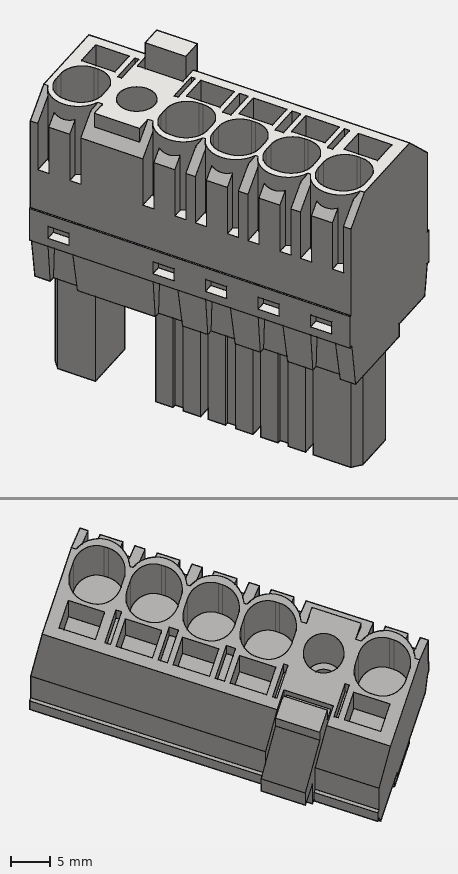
import cadquery as cq


width = 46.6
pitch = 7.65
position_count = 6
screw_index = 1
first_x = (width - (position_count - 1) * pitch) / 2
position_x = [first_x + i * pitch for i in range(position_count)]
screw_x = position_x[screw_index]
wire_x = [x for i, x in enumerate(position_x) if i != screw_index]

top_z = 44.8
band_top_z = 27.45
band_bottom_z = 22.35
step_z = 17.65
plug_top_z = 15.65
band_back_y = 20.7
body_front_y = 0.25
body_back_y = 20.25
step_y = 12.9
front_chamfer = 3.55
back_chamfer = 4.67
skirt_inset = 0.5
skirt_front_y = 1.45
skirt_back_y = 19.55

boss_radius = 3.9
boss_y = 5.25
funnel_length = 7.55
funnel_corner_radius = 3.1
funnel_y = 6.1
funnel_width = 6.75
funnel_floor_z = band_top_z
relief_width = 6.25
relief_floor_z = 33.85
rib_width = 3.05

pocket_width = 4.85
pocket_front_y = 10.4
pocket_back_y = 14.15
pocket_depth = 9.55
separator_front_y = 9.7
separator_depth = 4.75
screw_separator_offset = 4.1
screw_separator_width = 0.55
wide_separator_width = 1.25
wide_separator_x = [position_x[i] + pitch / 2 for i in (screw_index + 1, screw_index + 2)]
end_separator_width = 0.75
end_separator_x = 38.3

screw_y = 6.75
screw_head_radius = 2.58
screw_shank_radius = 1.75
screw_head_floor_z = band_top_z
nose_width = 6.6
nose_front_y = 1.57
nose_back_y = screw_y

window_width = 3.05
window_bottom_z = 23.65
window_top_z = 25.55
window_depth = 1.45
recess_top_width = 3.6
recess_bottom_width = 3.95
recess_back_y = 2.3

plug_front_y = 3.8
plug_back_y = 11.55
plug_width = 6.55
plug_chamfer_x = 1.05
plug_chamfer_y = 1.25
plug_back_chamfer_y = 0.52
groove_width = 1.5
groove_depth = 0.55
tongue_width = 4.1
tongue_back_y = 11.92
tongue_tip_z = 8.3
tongue_thickness = 1.65
tongue_bevel_height = 2.9

latch_slot_width = 6.65
latch_width = 5.9
latch_top_z = 47.7
latch_bottom_z = 18.3
latch_grip_front_y = 14.25
latch_grip_back_y = 17.3
latch_back_y = 23.2
latch_hook_z = 30.0
latch_shelf_z = 42.2


def box(x_range, y_range, z_range):
    """Axis-aligned block between the given (low, high) limits."""
    size = [high - low for low, high in (x_range, y_range, z_range)]
    corner = (x_range[0], y_range[0], z_range[0])
    return cq.Workplane("XY").box(*size, centered=False).translate(corner)


def around(centre, size):
    """(low, high) limits of a length centred on a coordinate."""
    return (centre - size / 2, centre + size / 2)


def extrude_profile(points, x_range):
    """Closed (Y, Z) outline extruded along X between the given limits."""
    length = x_range[1] - x_range[0]
    return cq.Workplane("YZ", origin=(x_range[0], 0, 0)).polyline(points).close().extrude(length)


def cylinder(x, y, radius, z_range):
    """Vertical cylinder."""
    return cq.Workplane("XY", origin=(x, y, z_range[0])).circle(radius).extrude(z_range[1] - z_range[0])


def housing_block():
    """Stepped, chamfered block with the seam band and the tapered skirt."""
    outline = [
        (skirt_front_y, plug_top_z),
        (skirt_inset, band_bottom_z),
        (0, band_bottom_z),
        (0, band_top_z),
        (body_front_y, band_top_z),
        (body_front_y, top_z - front_chamfer),
        (body_front_y + front_chamfer, top_z),
        (body_back_y - back_chamfer, top_z),
        (body_back_y, top_z - back_chamfer),
        (body_back_y, band_top_z),
        (band_back_y, band_top_z),
        (band_back_y, band_bottom_z),
        (band_back_y - skirt_inset, band_bottom_z),
        (skirt_back_y, step_z),
        (step_y, step_z),
        (step_y, plug_top_z),
    ]
    return extrude_profile(outline, (0, width))


def relief_slots(x):
    """Two slots beside a front rib, reaching back to the funnel boss."""
    z_range = (relief_floor_z, top_z)
    relief = box(around(x, relief_width), (0, boss_y), z_range)
    rib = box(around(x, rib_width), (0, boss_y), z_range)
    return relief.cut(rib).cut(cylinder(x, boss_y, boss_radius, z_range))


def funnel_hole(x):
    """Wire entry with short flat sides and widely rounded corners."""
    y_range = around(funnel_y, funnel_length)
    hole = box(around(x, funnel_width), y_range, (funnel_floor_z, top_z))
    return hole.edges("|Z").fillet(funnel_corner_radius)


def test_pocket(x):
    """Rectangular pocket behind a wire entry."""
    return box(around(x, pocket_width), (pocket_front_y, pocket_back_y), (top_z - pocket_depth, top_z))


def separator_slot(x, slot_width):
    """Narrow slot between two neighbouring positions."""
    z_range = (top_z - separator_depth, top_z)
    return box(around(x, slot_width), (separator_front_y, pocket_back_y), z_range)


def front_window(x):
    """Small blind window in the seam band."""
    return box(around(x, window_width), (0, window_depth), (window_bottom_z, window_top_z))


def skirt_recess(x):
    """Flat-backed recess in the skirt, widening downwards."""
    return (
        cq.Workplane("XZ")
        .polyline([
            (x - recess_top_width / 2, band_bottom_z),
            (x + recess_top_width / 2, band_bottom_z),
            (x + recess_bottom_width / 2, plug_top_z),
            (x - recess_bottom_width / 2, plug_top_z),
        ])
        .close()
        .extrude(-recess_back_y)
    )


def grooved_plug(x):
    """Inner plug with a vertical groove down its front face."""
    z_range = (0, plug_top_z)
    plug = box(around(x, plug_width), (plug_front_y, plug_back_y), z_range)
    groove = box(around(x, groove_width), (plug_front_y, plug_front_y + groove_depth), z_range)
    return plug.cut(groove)


def end_plug(x, outer_side):
    """End plug with chamfered outer edges; outer_side is -1 (left) or +1 (right)."""
    outer_x = x + outer_side * plug_width / 2
    inner_x = x - outer_side * plug_width / 2
    outline = [
        (inner_x, plug_front_y),
        (outer_x - outer_side * plug_chamfer_x, plug_front_y),
        (outer_x, plug_front_y + plug_chamfer_y),
        (outer_x, plug_back_y - plug_back_chamfer_y),
        (outer_x - outer_side * plug_chamfer_x, plug_back_y),
        (inner_x, plug_back_y),
    ]
    return cq.Workplane("XY").polyline(outline).close().extrude(plug_top_z)


def guide_tongue():
    """Tongue below the screw position, bevelled at its front tip."""
    front_y = tongue_back_y - tongue_thickness
    outline = [
        (front_y, plug_top_z),
        (front_y, tongue_tip_z + tongue_bevel_height),
        (tongue_back_y, tongue_tip_z),
        (tongue_back_y, plug_top_z),
    ]
    return extrude_profile(outline, around(screw_x, tongue_width))


def build_housing():
    body = housing_block()

    for x in wire_x:
        body = body.cut(relief_slots(x))
        body = body.union(cylinder(x, boss_y, boss_radius, (relief_floor_z, top_z)))
    for x in wire_x:
        body = body.cut(funnel_hole(x)).cut(test_pocket(x))
        body = body.cut(front_window(x)).cut(skirt_recess(x))

    for side in (-1, 1):
        body = body.cut(separator_slot(screw_x + side * screw_separator_offset, screw_separator_width))
    for x in wide_separator_x:
        body = body.cut(separator_slot(x, wide_separator_width))
    body = body.cut(separator_slot(end_separator_x, end_separator_width))

    nose_z = (top_z - front_chamfer, top_z)
    nose = box(around(screw_x, nose_width), (nose_front_y, nose_back_y), nose_z)
    body = body.union(nose)
    body = body.cut(cylinder(screw_x, screw_y, screw_head_radius, (screw_head_floor_z, top_z)))
    body = body.cut(cylinder(screw_x, screw_y, screw_shank_radius, (plug_top_z, top_z)))

    slot_x = around(screw_x, latch_slot_width)
    body = body.cut(box(slot_x, (step_y, band_back_y), (plug_top_z, top_z)))

    for x in wire_x[1:-1]:
        body = body.union(grooved_plug(x))
    body = body.union(end_plug(wire_x[0], -1)).union(end_plug(wire_x[-1], 1))
    return body.union(guide_tongue())


def build_latch():
    """Latch plate with a raised grip and a sloped hook overhanging the back."""
    slope_drop = latch_back_y - latch_grip_back_y
    slope_top_z = top_z + body_back_y - back_chamfer - latch_grip_back_y
    outline = [
        (step_y, latch_bottom_z),
        (step_y, latch_shelf_z),
        (latch_grip_front_y, latch_shelf_z),
        (latch_grip_front_y, latch_top_z),
        (latch_grip_back_y, latch_top_z),
        (latch_grip_back_y, slope_top_z),
        (latch_back_y, slope_top_z - slope_drop),
        (latch_back_y, latch_hook_z),
        (body_back_y, latch_hook_z),
        (body_back_y, latch_bottom_z),
    ]
    return extrude_profile(outline, around(screw_x, latch_width))


housing = build_housing()
latch = build_latch()
result = cq.Compound.makeCompound([housing.val(), latch.val()])